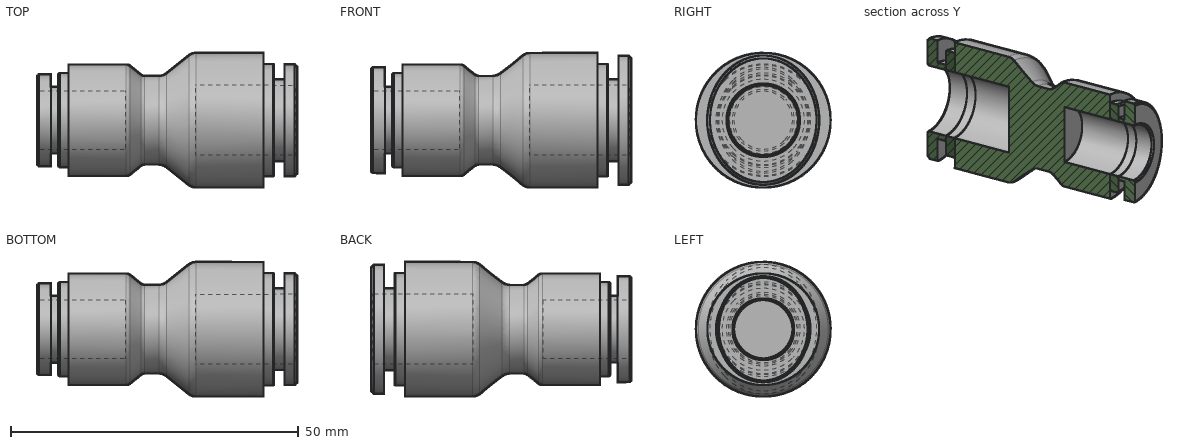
import cadquery as cq
import math

length = 45.3

small_barrel_diameter = 19.5
large_barrel_diameter = 23.5
waist_diameter = 15.5
housing_start = 5.45
housing_end = 39.4
small_cone_start = 15.85
large_cone_end = 26.95
cone_angle = 38.7
small_cone_fillet = 1.0
large_cone_fillet = 2.0

small_bore_diameter = 10.15
large_bore_diameter = 12.2
small_bore_depth = 15.4
large_bore_depth = 17.75

small_collar_diameter = 16.5
small_collar_start = 3.62
small_collar_chamfer = 0.3
small_neck_diameter = 11.7
small_flange_thickness = 2.4
small_flange_width = 16.05
small_flange_height = 18.5
small_flange_chamfer = 0.3

large_collar_diameter = 19.6
large_collar_end = 41.25
large_collar_chamfer = 0.2
large_neck_diameter = 14.3
large_flange_thickness = 2.25
large_flange_width = 19.52
large_flange_height = 22.5
large_flange_chamfer = 0.5

bore_mouth_chamfer = 0.3


def disc(diameter, start, end):
    """Solid cylinder along X between two X positions."""
    return cq.Workplane("YZ", origin=(start, 0, 0)).circle(diameter / 2).extrude(end - start)


def make_housing():
    small_radius = small_barrel_diameter / 2
    large_radius = large_barrel_diameter / 2
    waist_radius = waist_diameter / 2
    slope = math.tan(math.radians(cone_angle))
    small_cone_end = small_cone_start + (small_radius - waist_radius) / slope
    large_cone_start = large_cone_end - (large_radius - waist_radius) / slope

    profile = [
        (housing_start, 0),
        (housing_start, small_radius),
        (small_cone_start, small_radius),
        (small_cone_end, waist_radius),
        (large_cone_start, waist_radius),
        (large_cone_end, large_radius),
        (housing_end, large_radius),
        (housing_end, 0),
    ]
    body = cq.Workplane("XY").polyline(profile).close().revolve(360, (0, 0, 0), (1, 0, 0))

    margin = 0.05
    reach = large_barrel_diameter
    for cone_start, cone_end, fillet in (
        (small_cone_start, small_cone_end, small_cone_fillet),
        (large_cone_start, large_cone_end, large_cone_fillet),
    ):
        cone_box = cq.selectors.BoxSelector(
            (cone_start - margin, -reach, -reach), (cone_end + margin, reach, reach)
        )
        body = body.edges("%CIRCLE").edges(cone_box).fillet(fillet)

    small_bore = disc(small_bore_diameter, housing_start, small_bore_depth)
    large_bore = disc(large_bore_diameter, length - large_bore_depth, housing_end)
    return body.cut(small_bore).cut(large_bore)


def make_collar(diameter, bore_diameter, start, end, outer_face, chamfer):
    """Ring with a chamfered rim on its outer face ("<X" or ">X")."""
    ring = disc(diameter, start, end).faces(outer_face).chamfer(chamfer)
    return ring.cut(disc(bore_diameter, start, end))


def make_sleeve(width, height, thickness, rim_chamfer, neck_diameter, neck_end, bore_diameter):
    """Release sleeve with its oval flange's outer face at X = 0 and its neck toward +X."""
    flange = cq.Workplane("YZ").ellipse(width / 2, height / 2).extrude(thickness)
    flange = flange.faces("<X").chamfer(rim_chamfer)
    neck = disc(neck_diameter, thickness, neck_end)
    sleeve = flange.union(neck).cut(disc(bore_diameter, 0, neck_end))
    return sleeve.faces("<X").edges("%CIRCLE").chamfer(bore_mouth_chamfer)


housing = make_housing()

small_collar = make_collar(
    small_collar_diameter, small_bore_diameter,
    small_collar_start, housing_start, "<X", small_collar_chamfer,
)
large_collar = make_collar(
    large_collar_diameter, large_bore_diameter,
    housing_end, large_collar_end, ">X", large_collar_chamfer,
)

small_sleeve = make_sleeve(
    small_flange_width, small_flange_height, small_flange_thickness, small_flange_chamfer,
    small_neck_diameter, small_collar_start, small_bore_diameter,
)
large_sleeve = make_sleeve(
    large_flange_width, large_flange_height, large_flange_thickness, large_flange_chamfer,
    large_neck_diameter, length - large_collar_end, large_bore_diameter,
)
large_sleeve = large_sleeve.rotate((0, 0, 0), (0, 0, 1), 180).translate((length, 0, 0))

result = cq.Compound.makeCompound([
    housing.val(),
    small_collar.val(),
    large_collar.val(),
    small_sleeve.val(),
    large_sleeve.val(),
])